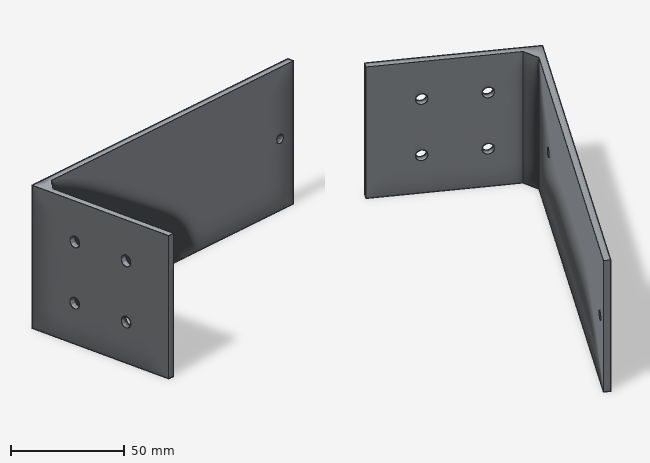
import cadquery as cq

width = 80.0
length = 173.0
height = 70.0
thickness = 3.3
corner_leg = 6.0

mount_hole_diameter = 5.5
mount_hole_spacing = 30.0

side_hole_diameter = 4.5
near_hole_y = 32.9
far_hole_end_distance = 9.0


def bracket_body():
    """L profile with a beveled inside corner, extruded upward."""
    outline = [
        (0, 0),
        (width, 0),
        (width, thickness),
        (thickness + corner_leg, thickness),
        (thickness, thickness + corner_leg),
        (thickness, length),
        (0, length),
    ]
    return cq.Workplane("XY").polyline(outline).close().extrude(height)


def mount_holes():
    """Square pattern of cutters centered on the short plate."""
    return (
        cq.Workplane("XZ", origin=(width / 2, 0, height / 2))
        .rarray(mount_hole_spacing, mount_hole_spacing, 2, 2)
        .circle(mount_hole_diameter / 2)
        .extrude(-thickness)
    )


def side_holes():
    """Pair of cutters through the long plate."""
    hole_positions = [(near_hole_y, 0), (length - far_hole_end_distance, 0)]
    return (
        cq.Workplane("YZ", origin=(0, 0, height / 2))
        .pushPoints(hole_positions)
        .circle(side_hole_diameter / 2)
        .extrude(thickness)
    )


result = bracket_body().cut(mount_holes()).cut(side_holes())